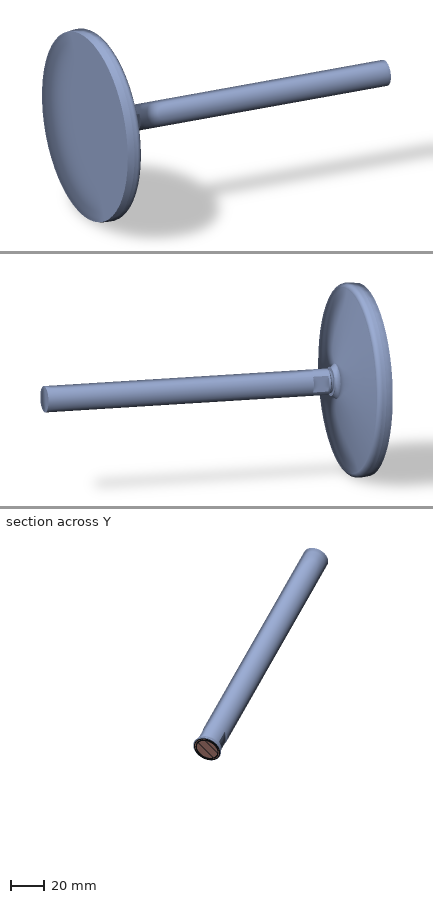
import cadquery as cq
import math

overall_length = 202.0

foot_radius = 118.0 / 2
face_radius = 58.4
taper_height = 4.2
rim_round_start = 6.7
rim_round = 3.0
rim_height = rim_round_start + rim_round
cone_top = 17.4
collar_radius = 8.3
collar_flare = 2.5
collar_top = 20.2
lip_radius = 8.9
lip_top = 20.6

stem_radius = 16.0 / 2
shoulder = 22.6
shoulder_taper = 0.8
neck_radius = 6.9
neck_bottom = 10.0

flat_width = 12.7
flat_start = 23.8
flat_end = 33.5


def revolve_about_y(outline):
    return outline.close().revolve(360, (0, 0, 0), (0, 1, 0))


def make_neck_socket():
    """Cylinder filled by the stem neck inside the foot."""
    socket = cq.Workplane("XZ", origin=(0, neck_bottom, 0)).circle(neck_radius)
    return socket.extrude(-(lip_top - neck_bottom))


def make_foot():
    diagonal = rim_round * math.cos(math.radians(45))
    outline = (
        cq.Workplane("XY")
        .lineTo(face_radius, 0)
        .lineTo(foot_radius, taper_height)
        .lineTo(foot_radius, rim_round_start)
        .threePointArc(
            (foot_radius - rim_round + diagonal, rim_round_start + diagonal),
            (foot_radius - rim_round, rim_height),
        )
        .lineTo(collar_radius + collar_flare, cone_top)
        .lineTo(collar_radius, cone_top + collar_flare)
        .lineTo(collar_radius, collar_top)
        .lineTo(lip_radius, collar_top)
        .lineTo(lip_radius, lip_top)
        .lineTo(0, lip_top)
    )
    return revolve_about_y(outline).cut(make_neck_socket())


def make_stem():
    outline = (
        cq.Workplane("XY")
        .moveTo(0, neck_bottom)
        .lineTo(neck_radius, neck_bottom)
        .lineTo(neck_radius, shoulder - shoulder_taper)
        .lineTo(stem_radius, shoulder)
        .lineTo(stem_radius, overall_length)
        .lineTo(0, overall_length)
    )
    stem = revolve_about_y(outline)
    flat_length = flat_end - flat_start
    flat_middle = (flat_start + flat_end) / 2
    for side in (-1, 1):
        cutter = cq.Workplane("XY").box(stem_radius, flat_length, 2 * stem_radius)
        offset = side * (flat_width + stem_radius) / 2
        stem = stem.cut(cutter.translate((offset, flat_middle, 0)))
    return stem


foot = make_foot()
stem = make_stem()
result = cq.Compound.makeCompound([foot.val(), stem.val()])